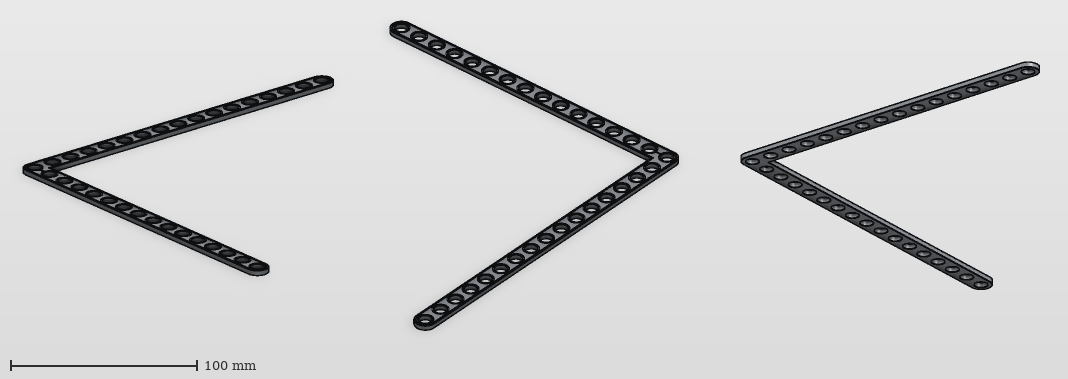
import cadquery as cq

longest_side = 212.5
thickness = 3.2
hole_diameter = 7.0
ring_diameter = 9.1
rim_width = 1.0
edge_chamfer = 0.32
pocket_depth = 0.25
rib_width = 0.5

long_arm_holes = 17
short_arm_holes = 16
hole_pitch = longest_side / long_arm_holes
arm_width = hole_pitch
end_radius = arm_width / 2
long_reach = (long_arm_holes - 1) * hole_pitch
short_reach = (short_arm_holes - 1) * hole_pitch
pocket_floor = thickness - pocket_depth

hole_centres = [(0, row * hole_pitch) for row in range(long_arm_holes)]
hole_centres += [(column * hole_pitch, 0) for column in range(1, short_arm_holes)]


def make_arms(half_width, base, height):
    """L-shaped slab with round arm ends and a round outer corner, centred on the corner hole."""
    return (
        cq.Workplane("XY", origin=(0, 0, base))
        .moveTo(-half_width, 0)
        .lineTo(-half_width, long_reach)
        .threePointArc((0, long_reach + half_width), (half_width, long_reach))
        .lineTo(half_width, half_width)
        .lineTo(short_reach, half_width)
        .threePointArc((short_reach + half_width, 0), (short_reach, -half_width))
        .lineTo(0, -half_width)
        .radiusArc((-half_width, 0), half_width)
        .close()
        .extrude(height)
    )


def make_pocket():
    """Shallow recess in the top face that leaves the rim, the hole rings and the rib standing."""
    recess = make_arms(end_radius - rim_width, pocket_floor, pocket_depth)
    floor_plane = cq.Workplane("XY", origin=(0, 0, pocket_floor))
    rings = floor_plane.pushPoints(hole_centres).circle(ring_diameter / 2).extrude(pocket_depth)
    rib = floor_plane.center(hole_pitch / 2, 0).rect(hole_pitch, rib_width).extrude(pocket_depth)
    return recess.cut(rings).cut(rib)


def make_hole_cutters():
    """Pins that bore the through holes and chamfer their edges on the top and bottom faces."""
    bore_radius = hole_diameter / 2
    mouth_radius = bore_radius + edge_chamfer
    pin = (
        cq.Workplane("XZ")
        .lineTo(mouth_radius, 0)
        .lineTo(bore_radius, edge_chamfer)
        .lineTo(bore_radius, thickness - edge_chamfer)
        .lineTo(mouth_radius, thickness)
        .lineTo(0, thickness)
        .close()
        .revolve(360, (0, 0, 0), (0, 1, 0))
        .val()
    )
    return cq.Workplane("XY").pushPoints(hole_centres).eachpoint(lambda place: pin.moved(place))


plate = make_arms(end_radius, 0, thickness).faces("<Z or >Z").chamfer(edge_chamfer)
result = plate.cut(make_pocket()).cut(make_hole_cutters())